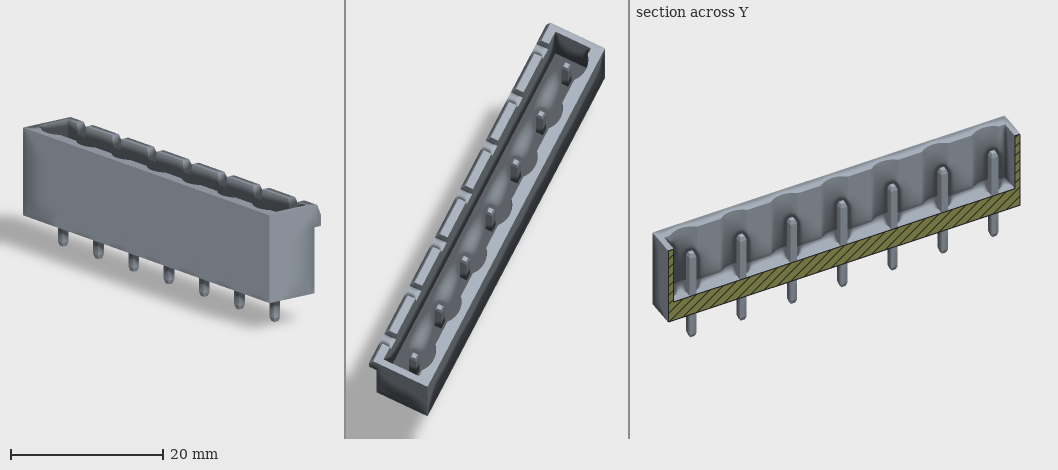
import cadquery as cq


length = 52.5
total_depth = 8.6
lip_overhang = 1.1
body_depth = total_depth - lip_overhang
total_height = 16.0
pin_protrusion = 4.0
body_height = total_height - pin_protrusion

pin_count = 7
pitch = length / pin_count
pin_xs = [(i - (pin_count - 1) / 2) * pitch for i in range(pin_count)]

lip_height = 3.0
lip_bevel_depth = 0.65
lip_bevel_height = 1.5

end_wall = 0.85
front_wall = 1.7
back_wall = 0.65
floor_thickness = 3.15
cavity_depth = body_depth - front_wall - back_wall
cavity_height = body_height - floor_thickness

scallop_width = 4.0
scallop_depth = 0.75

notch_top_width = 2.0
notch_floor_width = 1.5
notch_depth = 1.5

pin_size = 1.0
pin_tip_size = 0.65
pin_tip_length = 0.6
pin_offset = 0.05
pin_y = body_depth / 2 + pin_offset
pin_top = 10.0


def make_housing():
    """Solid block with the bevelled lip, extruded along the row."""
    profile = [
        (0, 0),
        (body_depth, 0),
        (body_depth, body_height - lip_height),
        (total_depth, body_height - lip_height),
        (total_depth, body_height - lip_bevel_height),
        (total_depth - lip_bevel_depth, body_height),
        (0, body_height),
    ]
    return cq.Workplane("YZ").polyline(profile).close().extrude(length / 2, both=True)


def make_cavity():
    """Rectangular pocket from the housing floor to the top."""
    return (
        cq.Workplane("XY", origin=(0, front_wall, floor_thickness))
        .box(length - 2 * end_wall, cavity_depth, cavity_height, centered=(True, False, False))
    )


def make_scallop(x):
    """Shallow arc-shaped widening of the cavity at one pin."""
    return (
        cq.Workplane("XY", origin=(x, front_wall, floor_thickness))
        .moveTo(-scallop_width / 2, 0)
        .threePointArc((0, -scallop_depth), (scallop_width / 2, 0))
        .close()
        .extrude(cavity_height)
    )


def make_notch(x):
    """Notch, wider at the top, from the cavity out through the back of the lip."""
    cavity_back = front_wall + cavity_depth
    return (
        cq.Workplane("XZ", origin=(x, total_depth, body_height))
        .moveTo(-notch_top_width / 2, 0)
        .lineTo(notch_top_width / 2, 0)
        .lineTo(notch_floor_width / 2, -notch_depth)
        .lineTo(-notch_floor_width / 2, -notch_depth)
        .close()
        .extrude(total_depth - cavity_back)
    )


def make_pin_tip(x, base_z, direction):
    """Tapered pin end, narrowing upward (direction 1) or downward (direction -1)."""
    return (
        cq.Workplane("XY", origin=(x, pin_y, base_z))
        .rect(pin_size, pin_size)
        .workplane(offset=direction * pin_tip_length)
        .rect(pin_tip_size, pin_tip_size)
        .loft(ruled=True)
    )


def make_pin(x):
    """Square pin with a straight shank and a tapered tip at each end."""
    shank_bottom = -pin_protrusion + pin_tip_length
    shank_top = pin_top - pin_tip_length
    shank = (
        cq.Workplane("XY", origin=(x, pin_y, shank_bottom))
        .rect(pin_size, pin_size)
        .extrude(shank_top - shank_bottom)
    )
    return shank.union(make_pin_tip(x, shank_top, 1)).union(make_pin_tip(x, shank_bottom, -1))


result = make_housing().cut(make_cavity())
for pin_x in pin_xs:
    result = result.cut(make_scallop(pin_x)).cut(make_notch(pin_x))
for pin_x in pin_xs:
    result = result.union(make_pin(pin_x))